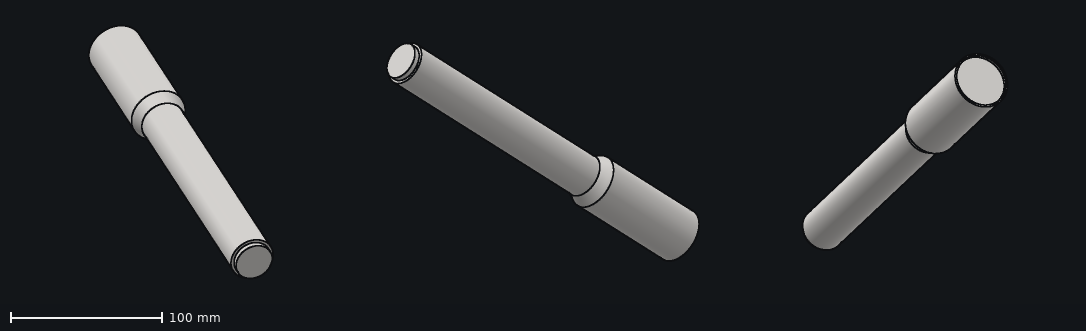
import cadquery as cq

total_length = 271.0
head_diameter = 38.0
recess_diameter = 35.2
shaft_diameter = 29.8
tip_diameter = 25.5

head_length = 83.7
taper_length = 9.0
tip_length = 4.0
recess_depth = 2.7

shaft_end = total_length - tip_length
taper_end = head_length + taper_length


def make_body():
    """Revolve the stepped outer profile about the X axis."""
    return (
        cq.Workplane("XY")
        .moveTo(0, 0)
        .lineTo(0, head_diameter / 2)
        .lineTo(head_length, head_diameter / 2)
        .lineTo(taper_end, shaft_diameter / 2)
        .lineTo(shaft_end, shaft_diameter / 2)
        .lineTo(shaft_end, tip_diameter / 2)
        .lineTo(total_length, tip_diameter / 2)
        .lineTo(total_length, 0)
        .close()
        .revolve(360, (0, 0, 0), (1, 0, 0))
    )


def make_face_recess():
    """Shallow round recess in the face of the head."""
    return cq.Workplane("YZ").circle(recess_diameter / 2).extrude(recess_depth)


result = make_body().cut(make_face_recess())